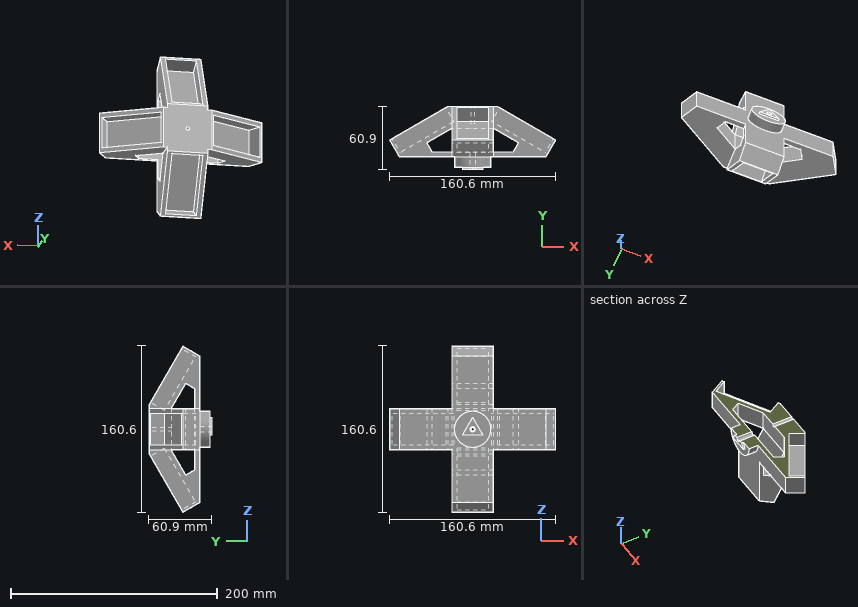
import cadquery as cq
import math

span = 160.58
total_depth = 60.89
arm_width = 40.0
arm_count = 4
quarter_turn = 360 / arm_count
slope_angle = math.radians(30)
slope_length = 65.2

boss_diameter = 35.0
boss_height = 10.0
triangle_side = 20.0
triangle_height = 1.9
front_hole_diameter = 5.0
back_hole_diameter = 3.2

front_plate = 5.0
strut_thickness = 20.4
cavity_tip_x = 44.2

pocket_width = 30.5
pocket_length = 60.0
pocket_depth = 15.5
pocket_inner_margin = 2.5

body_depth = total_depth - boss_height - triangle_height
half_span = span / 2
half_width = arm_width / 2
slope_ratio = math.tan(slope_angle)
plateau_half = half_span - slope_length * math.cos(slope_angle)
tip_y = body_depth - slope_length * math.sin(slope_angle)
front_half = half_span - tip_y * slope_ratio


def strut_inner_y(x):
    """Y of the strut's inner face, parallel to the sloped back face."""
    return tip_y + (half_span - x) * slope_ratio - strut_thickness / math.cos(slope_angle)


cavity_back_y = strut_inner_y(half_width)
cavity_tip_y = strut_inner_y(cavity_tip_x)
cavity_front_x = cavity_tip_x - (cavity_tip_y - front_plate) * slope_ratio


def mirrored_bar(right_side):
    """Prism across the arm width, from the +X half of an outline symmetric about the Y axis."""
    left_side = [(-x, y) for x, y in reversed(right_side)]
    outline = cq.Workplane("XY").polyline(right_side + left_side).close()
    return outline.extrude(half_width, both=True)


def crossed(bar):
    """The bar along X joined with its copy turned to run along Z."""
    return bar.union(bar.rotate((0, 0, 0), (0, 1, 0), quarter_turn))


def make_arms():
    body = mirrored_bar([(front_half, 0), (half_span, tip_y), (plateau_half, body_depth)])
    cavity = mirrored_bar([
        (cavity_front_x, front_plate),
        (cavity_tip_x, cavity_tip_y),
        (half_width, cavity_back_y),
    ])
    return crossed(body).cut(crossed(cavity))


def make_pocket():
    """Cutter for the pocket in the +X arm."""
    slope_plane = cq.Plane(
        origin=(plateau_half, body_depth, 0),
        xDir=(math.cos(slope_angle), -math.sin(slope_angle), 0),
        normal=(math.sin(slope_angle), math.cos(slope_angle), 0),
    )
    pocket_centre = pocket_inner_margin + pocket_length / 2
    outline = cq.Workplane(slope_plane).center(pocket_centre, 0).rect(pocket_length, pocket_width)
    return outline.extrude(-pocket_depth)


def make_boss():
    """Round boss with an equilateral triangle on its face, one corner pointing to +Z."""
    boss = cq.Workplane("XZ").circle(boss_diameter / 2).extrude(boss_height)
    corner_radius = triangle_side / math.sqrt(3)
    triangle = (
        cq.Workplane("XZ", origin=(0, -boss_height, 0))
        .polyline([
            (0, corner_radius),
            (-triangle_side / 2, -corner_radius / 2),
            (triangle_side / 2, -corner_radius / 2),
        ])
        .close()
        .extrude(triangle_height)
    )
    return boss.union(triangle)


def make_hole(diameter, start_y, end_y):
    """Cutter for a round hole on the Y axis."""
    return cq.Workplane("XZ", origin=(0, end_y, 0)).circle(diameter / 2).extrude(end_y - start_y)


result = make_arms().union(make_boss())

for arm in range(arm_count):
    result = result.cut(make_pocket().rotate((0, 0, 0), (0, 1, 0), arm * quarter_turn))

result = result.cut(make_hole(front_hole_diameter, -boss_height - triangle_height, front_plate))
result = result.cut(make_hole(back_hole_diameter, cavity_back_y, body_depth))